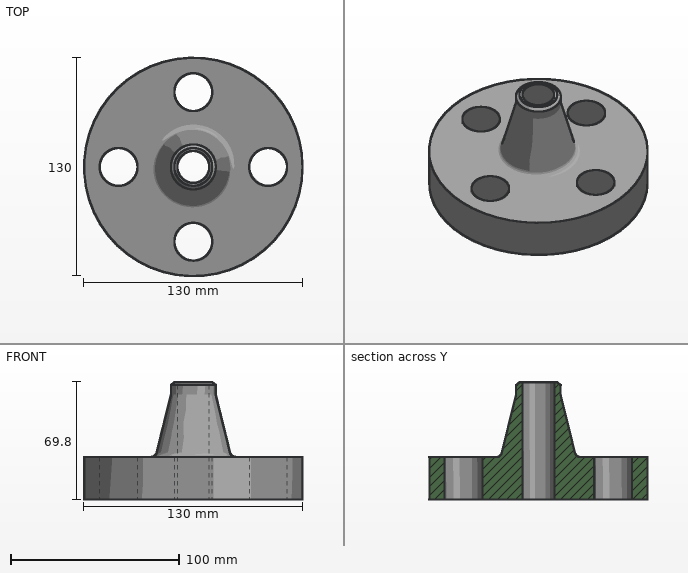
import cadquery as cq
import math


flange_radius = 65.0
flange_thickness = 25.5
total_height = 69.8

bolt_hole_diameter = 22.4
bolt_circle_diameter = 88.9
bolt_count = 4

bore_diameter = 18.9
neck_radius = 13.4
neck_length = 7.5
bevel_height = 1.7
land_width = 1.8
hub_base_radius = 22.5
fillet_radius = 3.3

bore_radius = bore_diameter / 2
neck_bottom = total_height - neck_length
land_radius = bore_radius + land_width


def hub_root_points():
    """Start, middle and end of the arc blending the cone into the flange face."""
    cone_angle = math.atan2(neck_bottom - flange_thickness, hub_base_radius - neck_radius)
    tangent_length = fillet_radius * math.tan(cone_angle / 2)
    center_r = hub_base_radius + tangent_length
    center_z = flange_thickness + fillet_radius

    def on_arc(turn):
        """Point on the arc, turned from straight down towards the cone."""
        return (
            center_r - fillet_radius * math.sin(turn),
            center_z - fillet_radius * math.cos(turn),
        )

    return on_arc(0), on_arc(cone_angle / 2), on_arc(cone_angle)


def flange_body():
    """Revolved disc, tapered hub, bevelled weld end and through bore."""
    root_start, root_middle, root_end = hub_root_points()
    return (
        cq.Workplane("XZ")
        .moveTo(bore_radius, 0)
        .lineTo(flange_radius, 0)
        .lineTo(flange_radius, flange_thickness)
        .lineTo(*root_start)
        .threePointArc(root_middle, root_end)
        .lineTo(neck_radius, neck_bottom)
        .lineTo(neck_radius, total_height - bevel_height)
        .lineTo(land_radius, total_height)
        .lineTo(bore_radius, total_height)
        .close()
        .revolve(360, (0, 0, 0), (0, 1, 0))
    )


def bolt_holes():
    """Through holes on the bolt circle, the first on the +X axis."""
    return (
        cq.Workplane("XY")
        .polarArray(bolt_circle_diameter / 2, 0, 360, bolt_count)
        .circle(bolt_hole_diameter / 2)
        .extrude(flange_thickness)
    )


result = flange_body().cut(bolt_holes())